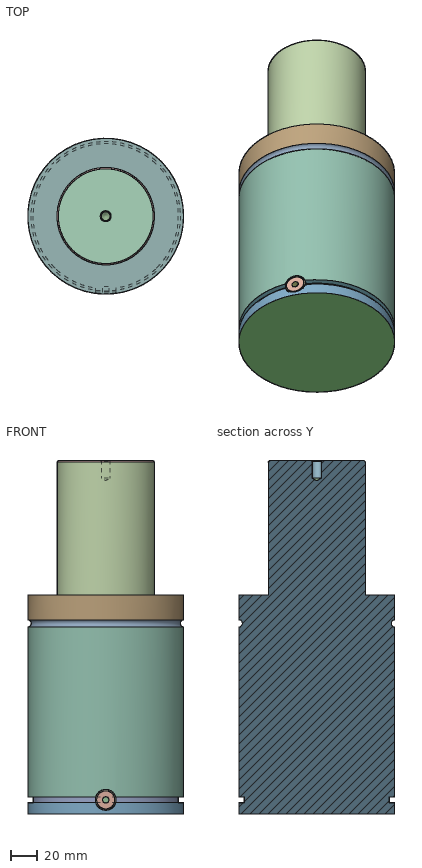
import cadquery as cq

height = 272.0
body_diameter = 120.0
rod_diameter = 75.0
body_height = 168.6
rod_chamfer = 1.0

base_groove_bottom = 8.7
base_groove_width = 4.4
base_groove_depth = 4.0

upper_groove_bottom = 144.0
upper_groove_top = 149.3
upper_groove_depth = 2.5

rod_hole_diameter = 6.8
rod_hole_mouth = 8.5
rod_hole_depth = 13.5
drill_tip_height = 2.0

port_height = base_groove_bottom + base_groove_width / 2
port_diameter = 16.0
plug_diameter = 14.0
port_depth = 11.0
plug_recess = 0.4
plug_hole_diameter = 5.0
plug_hole_depth = 5.5

body_radius = body_diameter / 2


def revolve_about_z(outline):
    return outline.close().revolve(360, (0, 0, 0), (0, 1, 0))


def port_cylinder(diameter, start_depth, length):
    """Cylinder running inward along +Y from a depth below the body's -Y side."""
    start = cq.Vector(0, -body_radius + start_depth, port_height)
    return cq.Workplane(cq.Solid.makeCylinder(diameter / 2, length, start, cq.Vector(0, 1, 0)))


def make_body():
    body = cq.Workplane("XY").circle(body_radius).extrude(body_height)
    rod = cq.Workplane("XY").circle(rod_diameter / 2).extrude(height)
    return body.union(rod.faces(">Z").chamfer(rod_chamfer))


def make_base_groove():
    groove = cq.Workplane("XY", origin=(0, 0, base_groove_bottom))
    return groove.circle(body_radius).circle(body_radius - base_groove_depth).extrude(base_groove_width)


def make_upper_groove():
    floor_radius = body_radius - upper_groove_depth
    middle = (upper_groove_bottom + upper_groove_top) / 2
    return revolve_about_z(
        cq.Workplane("XZ")
        .moveTo(body_radius, upper_groove_bottom)
        .threePointArc((floor_radius, middle), (body_radius, upper_groove_top))
    )


def make_rod_hole():
    bore_radius = rod_hole_diameter / 2
    mouth_radius = rod_hole_mouth / 2
    bore_bottom = height - rod_hole_depth
    return revolve_about_z(
        cq.Workplane("XZ")
        .moveTo(0, height)
        .lineTo(mouth_radius, height)
        .lineTo(bore_radius, height - (mouth_radius - bore_radius))
        .lineTo(bore_radius, bore_bottom)
        .lineTo(0, bore_bottom - drill_tip_height)
    )


def add_port(part):
    plug_chamfer = (port_diameter - plug_diameter) / 2
    plug = port_cylinder(port_diameter, plug_recess, port_depth - plug_recess)
    plug = plug.faces("<Y").chamfer(plug_chamfer)
    plug_hole = port_cylinder(plug_hole_diameter, plug_recess, plug_hole_depth)
    return part.cut(port_cylinder(port_diameter, 0, port_depth)).union(plug).cut(plug_hole)


part = make_body().cut(make_base_groove()).cut(make_upper_groove()).cut(make_rod_hole())
result = add_port(part)